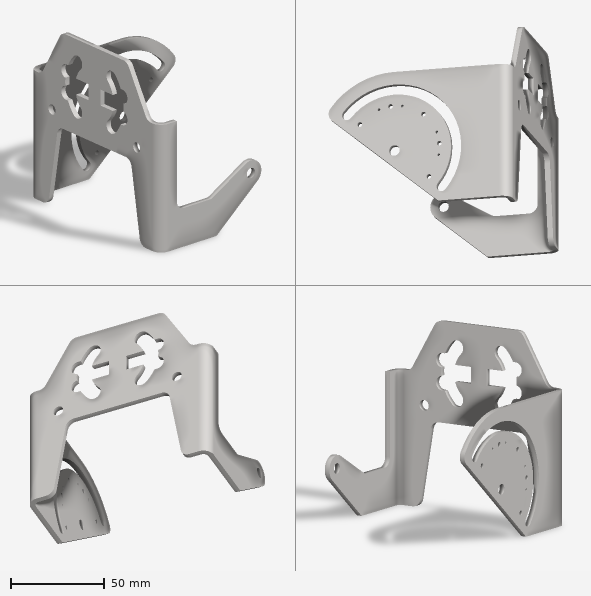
import cadquery as cq
import math

width = 108.0
panel_height = 103.0
flange_height = 74.0
thickness = 3.0
bend_radius = 6.0
corner_radius = 5.0

top_half_width = 27.0
shoulder_angle = 60.0
leg_gap_top = 47.6
leg_gap_half_top = 30.0
leg_gap_half_bottom = 38.1
leg_radius = 5.0
panel_hole_x = 35.0
panel_hole_z = 55.9
panel_hole_radius = 2.9

cutout_z = 75.5
arc_slot_radius = 20.0
arc_slot_half_width = 4.1
arc_slot_half_angle = 45.0
notch_inner_x = 5.0
notch_half_height = 4.6
lobe_x = 23.3
lobe_offset_z = 6.3
lobe_radius = 4.0

pivot_y = 64.2
pivot_z = 29.9
pivot_hole_radius = 2.9
pivot_margin = 7.3
tilt = 40.0

guide_slot_radius = 34.1
guide_slot_half_width = 2.8
index_circle_radius = 25.0
index_hole_radius = 1.3
index_step = 45.0
marker_hole_radius = 0.8
marker_offset = 15.0

arm_z = 22.4
arm_slope = 30.0
arm_wall_y = 12.1


def polar(radius, angle, center=(0, 0)):
    """Point on a circle, with the angle in degrees from the first axis."""
    turn = math.radians(angle)
    return (center[0] + radius * math.cos(turn), center[1] + radius * math.sin(turn))


def arc_slot(plane, center, radius, half_width, start, end):
    """Round-ended slot outline along an arc."""
    middle = (start + end) / 2
    inner = radius - half_width
    outer = radius + half_width
    return (
        cq.Workplane(plane)
        .moveTo(*polar(outer, start, center))
        .threePointArc(polar(outer, middle, center), polar(outer, end, center))
        .tangentArcPoint(polar(inner, end, center), relative=False)
        .threePointArc(polar(inner, middle, center), polar(inner, start, center))
        .tangentArcPoint(polar(outer, start, center), relative=False)
        .close()
    )


pivot = (pivot_y, pivot_z)
half_width = width / 2
rear_arc_radius = flange_height - pivot_z
flange_length = pivot_y + rear_arc_radius
lower_edge_drop = pivot_margin / math.cos(math.radians(tilt))
lower_corner_y = pivot_y - (pivot_z - lower_edge_drop) / math.tan(math.radians(tilt))


def make_sheet():
    """U-shaped sheet, taller than needed on the flanges."""
    outer = (
        cq.Workplane("XY")
        .box(width, flange_length, panel_height, centered=(True, False, False))
        .edges("|Z and <Y")
        .fillet(bend_radius)
    )
    inner = (
        cq.Workplane("XY")
        .box(width - 2 * thickness, flange_length, panel_height, centered=(True, False, False))
        .edges("|Z and <Y")
        .fillet(bend_radius - thickness)
        .translate((0, thickness, 0))
    )
    return outer.cut(inner)


def panel_profile():
    """Front outline, extended through the whole depth of the part."""
    shoulder_x = top_half_width + (panel_height - flange_height) / math.tan(math.radians(shoulder_angle))
    right_side = [
        (leg_gap_half_top, leg_gap_top),
        (leg_gap_half_bottom, 0),
        (half_width, 0),
        (half_width, flange_height),
        (shoulder_x, flange_height),
        (top_half_width, panel_height),
    ]
    left_side = [(-x, z) for x, z in reversed(right_side)]
    body = cq.Workplane("XZ").polyline(right_side + left_side).close().extrude(-flange_length)

    def round_corners(body, x, z, radius):
        for side in (-1, 1):
            edge = cq.selectors.NearestToPointSelector((side * x, flange_length / 2, z))
            body = body.edges("|Y").edges(edge).fillet(radius)
        return body

    body = round_corners(body, top_half_width, panel_height, corner_radius)
    body = round_corners(body, shoulder_x, flange_height, corner_radius)
    body = round_corners(body, leg_gap_half_top, leg_gap_top, leg_radius)
    return round_corners(body, leg_gap_half_bottom, 0, leg_radius)


def panel_cutout():
    """Right-hand cutout: arc slot, inward notch and two outward lobes."""
    center = (0, cutout_z)
    cutout = arc_slot(
        "XZ", center, arc_slot_radius, arc_slot_half_width, -arc_slot_half_angle, arc_slot_half_angle
    ).extrude(-thickness)
    notch_length = arc_slot_radius - notch_inner_x
    notch = (
        cq.Workplane("XZ")
        .center(notch_inner_x + notch_length / 2, cutout_z)
        .rect(notch_length, 2 * notch_half_height)
        .extrude(-thickness)
    )
    cutout = cutout.union(notch)
    lobe_length = lobe_x - arc_slot_radius
    for side in (-1, 1):
        lobe = (
            cq.Workplane("XZ")
            .center(arc_slot_radius + lobe_length / 2, cutout_z + side * lobe_offset_z)
            .slot2D(lobe_length + 2 * lobe_radius, 2 * lobe_radius)
            .extrude(-thickness)
        )
        cutout = cutout.union(lobe)
    return cutout


def left_flange_profile():
    """Left flange outline, with an arc about the pivot and a sloped lower edge."""
    tip_angle = tilt - math.degrees(math.asin(pivot_margin / rear_arc_radius))
    tip = polar(rear_arc_radius, tip_angle, pivot)
    body = (
        cq.Workplane("YZ")
        .moveTo(0, 0)
        .lineTo(lower_corner_y, 0)
        .lineTo(*tip)
        .threePointArc(polar(rear_arc_radius, (tip_angle + 90) / 2, pivot), (pivot_y, flange_height))
        .lineTo(0, flange_height)
        .close()
        .extrude(half_width)
        .edges("|X and >Y")
        .fillet(corner_radius)
    )
    return body.translate((-half_width, 0, 0))


def left_flange_cuts():
    """Pivot hole, guide slot and the ring of index and marker holes."""
    index_angles = [tilt + step * index_step for step in range(5)]
    marker_angles = [
        index_angles[index] + side * marker_offset for index in (1, 3) for side in (-1, 1)
    ]
    index_points = [polar(index_circle_radius, angle, pivot) for angle in index_angles]
    marker_points = [polar(index_circle_radius, angle, pivot) for angle in marker_angles]
    slot = arc_slot("YZ", pivot, guide_slot_radius, guide_slot_half_width, tilt, tilt + 180)
    cuts = slot.extrude(thickness)
    for points, radius in (
        ([pivot], pivot_hole_radius),
        (index_points, index_hole_radius),
        (marker_points, marker_hole_radius),
    ):
        cuts = cuts.union(cq.Workplane("YZ").pushPoints(points).circle(radius).extrude(thickness))
    return cuts.translate((-half_width, 0, 0))


def right_flange_profile():
    """Right flange outline: a low arm rising to a rounded end about the pivot."""
    slope_start = polar(pivot_margin, 90 + arm_slope, pivot)
    slope_end = polar(pivot_margin, tilt - 90, pivot)
    knee_y = slope_start[0] - (slope_start[1] - arm_z) / math.tan(math.radians(arm_slope))
    body = (
        cq.Workplane("YZ")
        .moveTo(0, 0)
        .lineTo(lower_corner_y, 0)
        .lineTo(*slope_end)
        .threePointArc((pivot_y + pivot_margin, pivot_z), slope_start)
        .lineTo(knee_y, arm_z)
        .lineTo(arm_wall_y, arm_z)
        .lineTo(arm_wall_y, flange_height)
        .lineTo(0, flange_height)
        .close()
        .extrude(half_width)
    )
    for corner_y in (knee_y, arm_wall_y):
        edge = cq.selectors.NearestToPointSelector((half_width / 2, corner_y, arm_z))
        body = body.edges("|X").edges(edge).fillet(corner_radius)
    return body.cut(cq.Workplane("YZ").center(*pivot).circle(pivot_hole_radius).extrude(half_width))


panel_zone = cq.Workplane("XY").box(
    width - 2 * bend_radius, thickness, panel_height, centered=(True, False, False)
)
side_zones = left_flange_profile().union(right_flange_profile()).union(panel_zone)

right_cutout = panel_cutout()
panel_holes = (
    cq.Workplane("XZ")
    .pushPoints([(-panel_hole_x, panel_hole_z), (panel_hole_x, panel_hole_z)])
    .circle(panel_hole_radius)
    .extrude(-thickness)
)

result = (
    make_sheet()
    .intersect(panel_profile())
    .intersect(side_zones)
    .cut(right_cutout)
    .cut(right_cutout.mirror("YZ"))
    .cut(panel_holes)
    .cut(left_flange_cuts())
)